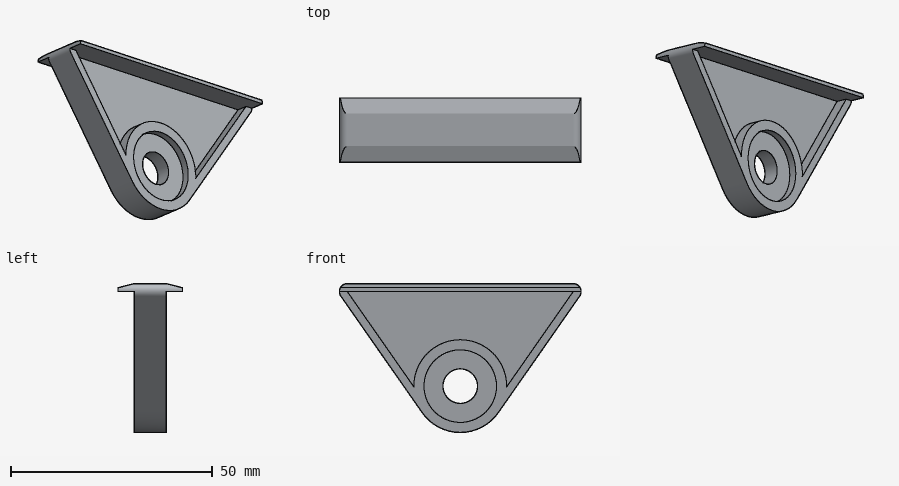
import cadquery as cq
import math

length = 60.0
plate_width = 16.0
plate_thickness = 2.0
plate_edge_height = 0.95

bracket_thickness = 8.05
height = 36.95
corner_radius = plate_thickness
hub_radius = 11.5
rim_width = 2.0
pocket_depth = 3.0

bore_radius = 9.0
bore_depth = 2.0
hole_radius = 4.25

corner_x = length / 2 - corner_radius
corner_z = -plate_thickness
hub_z = hub_radius - height

centre_rise = corner_z - hub_z
centre_distance = math.hypot(corner_x, centre_rise)
side_angle = math.acos((hub_radius - corner_radius) / centre_distance) - math.atan2(centre_rise, corner_x)


def on_arc(centre_x, centre_z, radius, angle):
    """Point on an arc, with the angle measured downward from +X."""
    return (centre_x + radius * math.cos(angle), centre_z - radius * math.sin(angle))


def mirrored(point):
    return (-point[0], point[1])


def extrude_about_middle(sketch, width):
    return sketch.extrude(width / 2, both=True)


def make_plate():
    end_profile = (
        cq.Workplane("XZ")
        .moveTo(-length / 2, corner_z)
        .radiusArc((-corner_x, 0), corner_radius)
        .lineTo(corner_x, 0)
        .radiusArc((length / 2, corner_z), corner_radius)
        .close()
    )
    edge_z = corner_z + plate_edge_height
    cross_section = (
        cq.Workplane("YZ")
        .moveTo(-plate_width / 2, corner_z)
        .lineTo(-plate_width / 2, edge_z)
        .lineTo(-bracket_thickness / 2, 0)
        .lineTo(bracket_thickness / 2, 0)
        .lineTo(plate_width / 2, edge_z)
        .lineTo(plate_width / 2, corner_z)
        .close()
    )
    rounded = extrude_about_middle(end_profile, plate_width)
    return rounded.intersect(extrude_about_middle(cross_section, length))


def make_bracket():
    corner_tangent = on_arc(corner_x, corner_z, corner_radius, side_angle)
    corner_middle = on_arc(corner_x, corner_z, corner_radius, side_angle / 2)
    hub_tangent = on_arc(0, hub_z, hub_radius, side_angle)
    outline = (
        cq.Workplane("XZ")
        .moveTo(-length / 2, corner_z)
        .lineTo(length / 2, corner_z)
        .threePointArc(corner_middle, corner_tangent)
        .lineTo(*hub_tangent)
        .threePointArc((0, -height), mirrored(hub_tangent))
        .lineTo(*mirrored(corner_tangent))
        .threePointArc(mirrored(corner_middle), (-length / 2, corner_z))
        .close()
    )
    return extrude_about_middle(outline, bracket_thickness)


def cylinder(radius, start_y, depth):
    """Cylinder on the hub axis, running from start_y toward +Y."""
    return cq.Workplane("XZ", origin=(0, start_y, hub_z)).circle(radius).extrude(-depth)


def make_front_pocket():
    """Triangular recess that leaves a rim along the sides and around the hub."""
    front_y = -bracket_thickness / 2
    top_half = corner_x + (corner_radius - rim_width) / math.cos(side_angle)
    tip_depth = top_half / math.tan(side_angle)
    triangle = (
        cq.Workplane("XZ", origin=(0, front_y, 0))
        .polyline([(-top_half, corner_z), (top_half, corner_z), (0, corner_z - tip_depth)])
        .close()
        .extrude(-pocket_depth)
    )
    hub_keep = cylinder(hub_radius, front_y, pocket_depth)
    return triangle.cut(hub_keep)


def make_front_bore():
    return cylinder(bore_radius, -bracket_thickness / 2, bore_depth)


def cut_both_faces(body, cutter):
    return body.cut(cutter).cut(cutter.mirror("XZ"))


bracket = cut_both_faces(make_bracket(), make_front_pocket())
bracket = cut_both_faces(bracket, make_front_bore())
bracket = bracket.cut(cylinder(hole_radius, -bracket_thickness / 2, bracket_thickness))

result = make_plate().union(bracket)